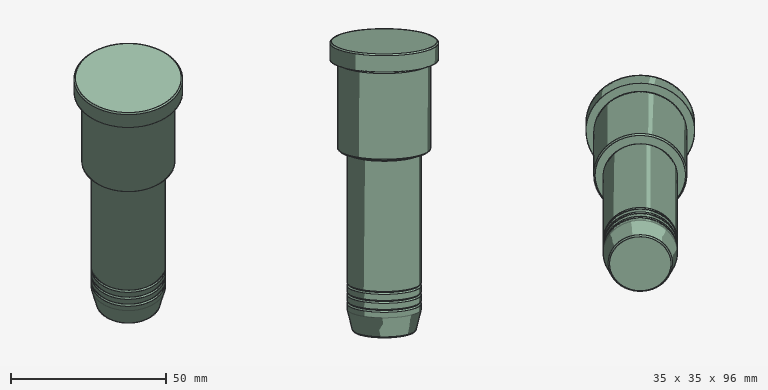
import cadquery as cq

total_height = 96.0
head_diameter = 35.0
body_diameter = 30.0
pin_diameter = 24.0

head_height = 6.0
head_chamfer = 0.5
body_chamfer = 0.5
head_undercut_height = 0.6

body_length = 30.0
pin_undercut_height = 1.0
pin_undercut_depth = 0.5

taper_height = 7.2
tip_diameter = 20.7
tip_chamfer = 0.5

groove_count = 3
first_groove_height = 9.5
groove_spacing = 3.0
groove_half_width = 0.5
groove_depth = 0.5

head_radius = head_diameter / 2
body_radius = body_diameter / 2
pin_radius = pin_diameter / 2
tip_radius = tip_diameter / 2
head_bottom = total_height - head_height
body_top = head_bottom - head_undercut_height
body_bottom = head_bottom - body_length
pin_top = body_bottom - pin_undercut_height


def make_stepped_pin():
    """Revolve the head, body, undercuts and tapered pin about Z."""
    head_undercut_radius = body_radius - body_chamfer
    pin_undercut_radius = pin_radius - pin_undercut_depth
    profile = [
        (0, 0),
        (tip_radius - tip_chamfer, 0),
        (tip_radius, tip_chamfer),
        (pin_radius, taper_height),
        (pin_radius, pin_top),
        (pin_undercut_radius, pin_top),
        (pin_undercut_radius, body_bottom),
        (body_radius - body_chamfer, body_bottom),
        (body_radius, body_bottom + body_chamfer),
        (body_radius, body_top - body_chamfer),
        (head_undercut_radius, body_top),
        (head_undercut_radius, head_bottom),
        (head_radius, head_bottom),
        (head_radius, total_height - head_chamfer),
        (head_radius - head_chamfer, total_height),
        (0, total_height),
    ]
    return cq.Workplane("XZ").polyline(profile).close().revolve(360, (0, 0, 0), (0, 1, 0))


def make_ring_groove(height):
    """Make the V-section ring removed from the pin at the given height."""
    section = [
        (pin_radius - groove_depth, height),
        (pin_radius, height - groove_half_width),
        (pin_radius + groove_depth, height - groove_half_width),
        (pin_radius + groove_depth, height + groove_half_width),
        (pin_radius, height + groove_half_width),
    ]
    return cq.Workplane("XZ").polyline(section).close().revolve(360, (0, 0, 0), (0, 1, 0))


result = make_stepped_pin()
for index in range(groove_count):
    result = result.cut(make_ring_groove(first_groove_height + index * groove_spacing))